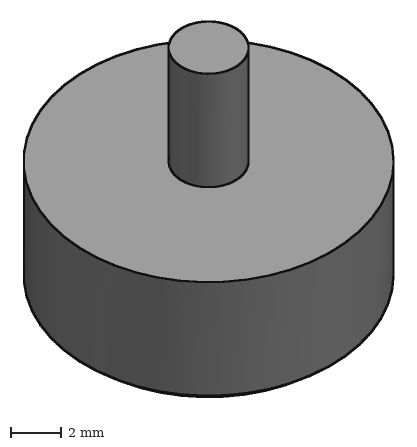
import cadquery as cq

body_diameter = 14.8
stem_diameter = 3.2
total_height = 14.7
stem_height = 6.0
body_wall_height = 6.0
chamfer_size = 0.6

body_radius = body_diameter / 2
stem_radius = stem_diameter / 2
cone_radius = body_radius - chamfer_size
cone_height = total_height - stem_height - body_wall_height - chamfer_size

chamfer_bottom_z = cone_height
chamfer_top_z = chamfer_bottom_z + chamfer_size
body_top_z = chamfer_top_z + body_wall_height


def make_body():
    """Round body with a chamfered lower edge and a conical point, revolved about Z."""
    half_profile = (
        cq.Workplane("XZ")
        .moveTo(0, 0)
        .lineTo(cone_radius, chamfer_bottom_z)
        .lineTo(body_radius, chamfer_top_z)
        .lineTo(body_radius, body_top_z)
        .lineTo(0, body_top_z)
        .close()
    )
    return half_profile.revolve(360, (0, 0), (0, 1))


def make_stem():
    """Plain cylindrical stem standing on the flat top of the body."""
    return (
        cq.Workplane("XY")
        .workplane(offset=body_top_z)
        .circle(stem_radius)
        .extrude(stem_height)
    )


result = make_body().union(make_stem())